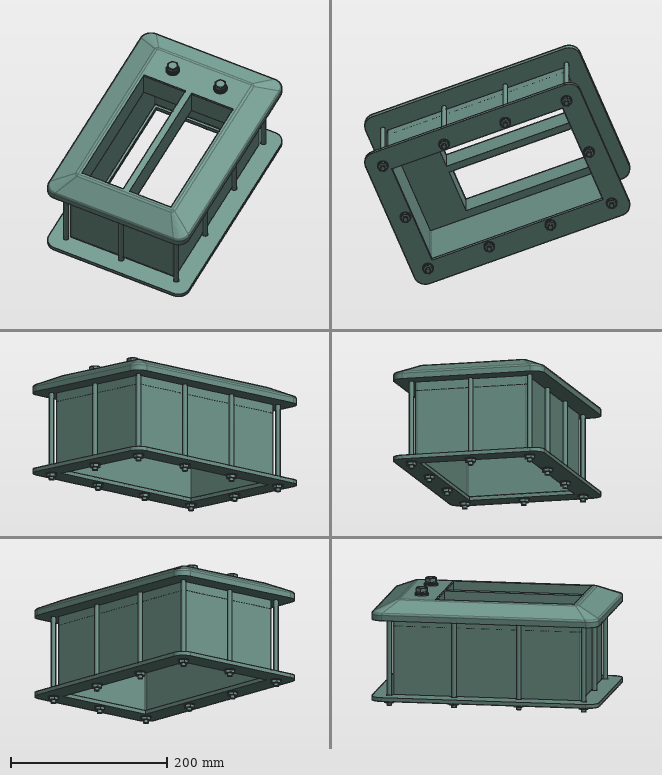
import cadquery as cq

LENGTH_X = 200.0
LENGTH_Y = 295.0
CORNER_RADIUS = 15.0

PLATE_THICKNESS = 5.0
ROD_HOLE_DIAMETER = 7.0

FRAME_BOTTOM = 100.0
FRAME_HEIGHT = 23.0
RIM_HEIGHT = 9.0
BEVEL_WIDTH = 31.0
TOP_CORNER_RADIUS = 3.0
RIM_FILLET = 3.0
TOP_FILLET = 9.0
FRAME_TOP = FRAME_BOTTOM + FRAME_HEIGHT

SLEEVE_X = 150.0
SLEEVE_Y = 245.0
SLEEVE_CORNER_RADIUS = 2.5
SLEEVE_WALL = 1.5
LEDGE_WIDTH = 3.5
CAVITY_CORNER_RADIUS = SLEEVE_CORNER_RADIUS - SLEEVE_WALL
CAVITY_X = SLEEVE_X - 2 * SLEEVE_WALL
CAVITY_Y = SLEEVE_Y - 2 * SLEEVE_WALL

SLOT_DEPTH = 34.0
SLOT_WIDTH = 59.0
WEB_WIDTH = 9.0
SLOT_Y_MIN = -111.0
SLOT_Y_MAX = 68.0
SLOT_CHAMFER_WIDTH = 1.0
SLOT_CHAMFER_DEPTH = 1.5
SLOT_CENTER_X = (WEB_WIDTH + SLOT_WIDTH) / 2
CAVITY_TOP = FRAME_TOP - SLOT_DEPTH

ROD_DIAMETER = 6.0
ROD_OFFSET_X = 78.5
ROD_PITCH_Y = 84.2
ROD_OFFSET_Y = 1.5 * ROD_PITCH_Y
ROD_BOTTOM = -13.42
ROD_WASHER_DIAMETER = 14.0
ROD_WASHER_THICKNESS = 1.1
NUT_HEIGHT = 3.6
NUT_ACROSS_CORNERS = 13.0

BOLT_Y = 92.0
BOLT_HEIGHT = 9.8
BOLT_WASHER_DIAMETER = 17.6
BOLT_WASHER_THICKNESS = 1.6
BOLT_COLLAR_DIAMETER = 15.4
BOLT_COLLAR_THICKNESS = 1.2
SPRING_WASHER_DIAMETER = 14.4
SPRING_WASHER_THICKNESS = 1.7
HEAD_ACROSS_CORNERS = 15.0
HEAD_TOP_DIAMETER = 11.6
HEAD_CHAMFER_HEIGHT = 1.0

OVERLAP = 1.0
SELECTION_MARGIN = 0.1


def rounded_sketch(size_x, size_y, radius):
    return cq.Sketch().rect(size_x, size_y).vertices().fillet(radius)


def cylinder(x, y, bottom, diameter, height):
    return cq.Workplane("XY", origin=(x, y, bottom)).circle(diameter / 2).extrude(height)


def hexagon(x, y, bottom, across_corners, height):
    return cq.Workplane("XY", origin=(x, y, bottom)).polygon(6, across_corners).extrude(height)


def box(x_range, y_range, z_range):
    size = [high - low for low, high in (x_range, y_range, z_range)]
    corner = (x_range[0], y_range[0], z_range[0])
    return cq.Workplane("XY").box(*size, centered=False).translate(corner)


def rod_positions():
    side_rows = (-ROD_OFFSET_Y, -ROD_PITCH_Y / 2, ROD_PITCH_Y / 2, ROD_OFFSET_Y)
    sides = [(x, y) for x in (-ROD_OFFSET_X, ROD_OFFSET_X) for y in side_rows]
    ends = [(0, -ROD_OFFSET_Y), (0, ROD_OFFSET_Y)]
    return sides + ends


def make_plate():
    plate = (
        cq.Workplane("XY", origin=(0, 0, -PLATE_THICKNESS))
        .placeSketch(rounded_sketch(LENGTH_X, LENGTH_Y, CORNER_RADIUS))
        .extrude(PLATE_THICKNESS)
    )
    opening = cq.Workplane("XY").box(
        CAVITY_X - 2 * LEDGE_WIDTH, CAVITY_Y - 2 * LEDGE_WIDTH, 2 * (PLATE_THICKNESS + OVERLAP)
    )
    rod_holes = (
        cq.Workplane("XY", origin=(0, 0, -PLATE_THICKNESS))
        .pushPoints(rod_positions())
        .circle(ROD_HOLE_DIAMETER / 2)
        .extrude(PLATE_THICKNESS)
    )
    return plate.cut(opening).cut(rod_holes)


def make_frame():
    outline = rounded_sketch(LENGTH_X, LENGTH_Y, CORNER_RADIUS)
    top_outline = rounded_sketch(LENGTH_X - 2 * BEVEL_WIDTH, LENGTH_Y - 2 * BEVEL_WIDTH, TOP_CORNER_RADIUS)
    bevel_height = FRAME_HEIGHT - RIM_HEIGHT
    rim = cq.Workplane("XY", origin=(0, 0, FRAME_BOTTOM)).placeSketch(outline).extrude(RIM_HEIGHT)
    bevel = (
        cq.Workplane("XY", origin=(0, 0, FRAME_BOTTOM + RIM_HEIGHT))
        .placeSketch(outline, top_outline.moved(cq.Location(cq.Vector(0, 0, bevel_height))))
        .loft(ruled=True)
    )
    frame = rim.union(bevel)
    frame = frame.faces(">Z").edges().fillet(TOP_FILLET)
    rim_top = FRAME_BOTTOM + RIM_HEIGHT
    rim_edges = cq.selectors.BoxSelector(
        (-LENGTH_X, -LENGTH_Y, rim_top - SELECTION_MARGIN),
        (LENGTH_X, LENGTH_Y, rim_top + SELECTION_MARGIN),
    )
    return frame.edges(rim_edges).fillet(RIM_FILLET)


def make_sleeve():
    return (
        cq.Workplane("XY")
        .placeSketch(rounded_sketch(SLEEVE_X, SLEEVE_Y, SLEEVE_CORNER_RADIUS))
        .extrude(FRAME_BOTTOM)
    )


def make_slot(center_x):
    half = SLOT_WIDTH / 2
    slot = box(
        (center_x - half, center_x + half), (SLOT_Y_MIN, SLOT_Y_MAX), (CAVITY_TOP - OVERLAP, FRAME_TOP)
    )
    return slot.union(
        cq.Workplane("YZ", origin=(center_x - half, SLOT_Y_MAX, FRAME_TOP))
        .polyline([(0, 0), (SLOT_CHAMFER_WIDTH, 0), (0, -SLOT_CHAMFER_DEPTH)])
        .close()
        .extrude(SLOT_WIDTH)
    )


def make_rod(x, y):
    washer_bottom = -PLATE_THICKNESS - ROD_WASHER_THICKNESS
    rod = cylinder(x, y, ROD_BOTTOM, ROD_DIAMETER, FRAME_BOTTOM + OVERLAP - ROD_BOTTOM)
    washer = cylinder(x, y, washer_bottom, ROD_WASHER_DIAMETER, ROD_WASHER_THICKNESS)
    nut = hexagon(x, y, washer_bottom - NUT_HEIGHT, NUT_ACROSS_CORNERS, NUT_HEIGHT)
    return rod.union(washer).union(nut)


def make_bolt_head(x, bottom, top):
    chamfer_width = (HEAD_ACROSS_CORNERS - HEAD_TOP_DIAMETER) / 2
    envelope = (
        cylinder(x, BOLT_Y, bottom, HEAD_ACROSS_CORNERS, top - bottom)
        .faces(">Z").edges().chamfer(HEAD_CHAMFER_HEIGHT, chamfer_width)
    )
    return hexagon(x, BOLT_Y, bottom, HEAD_ACROSS_CORNERS, top - bottom).intersect(envelope)


def make_bolt(x):
    discs = [
        (BOLT_WASHER_DIAMETER, BOLT_WASHER_THICKNESS),
        (BOLT_COLLAR_DIAMETER, BOLT_COLLAR_THICKNESS),
        (SPRING_WASHER_DIAMETER, SPRING_WASHER_THICKNESS),
    ]
    bolt = cq.Workplane("XY")
    level = FRAME_TOP
    for diameter, thickness in discs:
        bolt = bolt.union(cylinder(x, BOLT_Y, level, diameter, thickness))
        level += thickness
    return bolt.union(make_bolt_head(x, level, FRAME_TOP + BOLT_HEIGHT))


def make_cavity():
    return (
        cq.Workplane("XY")
        .placeSketch(rounded_sketch(CAVITY_X, CAVITY_Y, CAVITY_CORNER_RADIUS))
        .extrude(CAVITY_TOP)
    )


body = make_frame().union(make_sleeve()).cut(make_cavity())
for slot_x in (-SLOT_CENTER_X, SLOT_CENTER_X):
    body = body.cut(make_slot(slot_x))
    body = body.union(make_bolt(slot_x))
body = body.union(make_plate())
for rod_x, rod_y in rod_positions():
    body = body.union(make_rod(rod_x, rod_y))

result = cq.Workplane(body.solids().val())